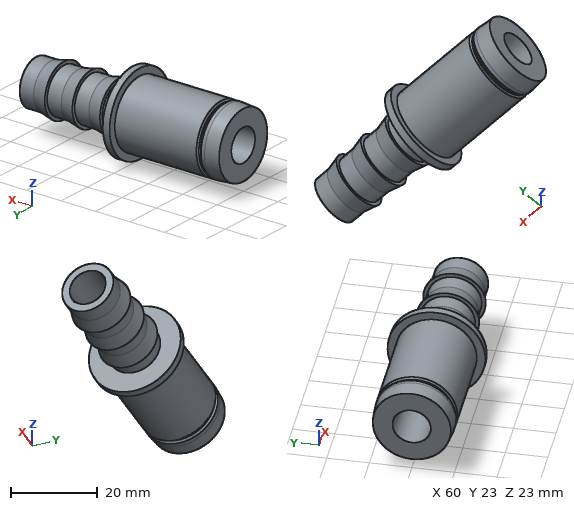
import cadquery as cq

length = 60.0
bore_diameter = 9.0

body_diameter = 19.0
nose_face_diameter = 18.35
nose_length = 4.0
groove_start = 5.0
groove_floor_start = 5.5
groove_floor_end = 6.0
groove_end = 6.35
groove_diameter = 18.0

flange_diameter = 23.0
flange_start = 30.0
flange_thickness = 2.0
flange_end = flange_start + flange_thickness

tail_diameter = 12.85
barb_diameter = 14.7
barb_count = 3
barb_length = (length - flange_end) / (2 * barb_count + 1)
barb_pitch = 2 * barb_length
first_barb_start = flange_end + barb_length


def turned(stations):
    """Solid turned about the X axis from (X station, diameter) pairs."""
    outline = [(station, diameter / 2) for station, diameter in stations]
    axis_start = (stations[0][0], 0)
    axis_end = (stations[-1][0], 0)
    profile = cq.Workplane("XZ").polyline([axis_start, *outline, axis_end]).close()
    return profile.revolve(360, (0, 0, 0), (1, 0, 0))


def cylinder(start, end, diameter):
    """Cylinder on the X axis between two stations."""
    return turned([(start, diameter), (end, diameter)])


def plug():
    """Tapered nose, seal groove and body, up to the flange."""
    return turned([
        (0, nose_face_diameter),
        (nose_length, body_diameter),
        (groove_start, body_diameter),
        (groove_floor_start, groove_diameter),
        (groove_floor_end, groove_diameter),
        (groove_end, body_diameter),
        (flange_start, body_diameter),
    ])


def hose_tail():
    """Plain tube with barbs that step up towards the flange and taper towards the open end."""
    tail = cylinder(flange_end, length, tail_diameter)
    for index in range(barb_count):
        barb_start = first_barb_start + index * barb_pitch
        barb_end = barb_start + barb_length
        tail = tail.union(turned([(barb_start, barb_diameter), (barb_end, tail_diameter)]))
    return tail


flange = cylinder(flange_start, flange_end, flange_diameter)
bore = cylinder(0, length, bore_diameter)

result = plug().union(flange).union(hose_tail()).cut(bore)